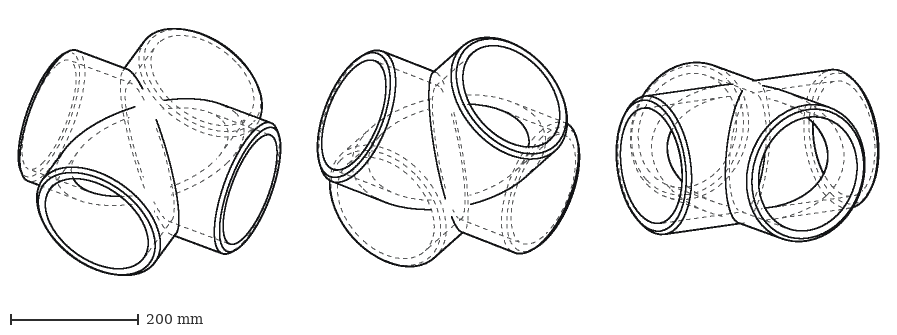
import cadquery as cq

length = 356.0
outer_diameter = 219.0
bore_diameter = 182.3
end_chamfer = 6.0


def centred_cylinder(plane, diameter):
    """Cylinder of full pipe length, centred on the origin along the plane's normal."""
    return cq.Workplane(plane).circle(diameter / 2).extrude(length / 2, both=True)


def pipe_body(plane):
    """Solid run of pipe with both outer end rims chamfered."""
    return centred_cylinder(plane, outer_diameter).edges("%CIRCLE").chamfer(end_chamfer)


result = pipe_body("YZ").union(pipe_body("XZ"))

for run_plane in ("YZ", "XZ"):
    result = result.cut(centred_cylinder(run_plane, bore_diameter))